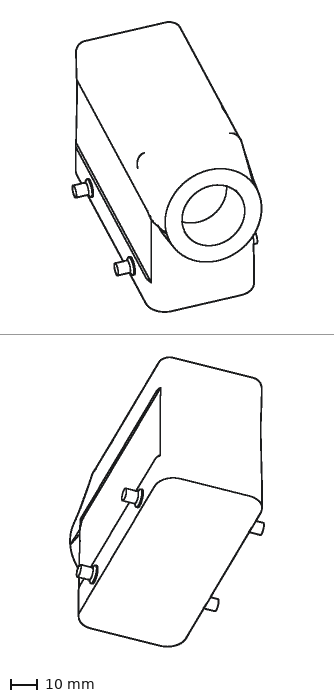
import cadquery as cq
import math

overall_length = 106.8
overall_width = 55.6
overall_height = 69.3

base_length = 93.4
base_width = 42.9
base_height = 13.0
base_corner_radius = 7.6

body_top = 62.3
corner_change_height = 38.4
waist_corner_radius = 7.3
top_corner_radius = 3.8
top_edge_radius = 3.7
end_draft = 1.3
side_draft = 0.6

recess_top = 46.5
recess_half_width_bottom = 20.5
recess_half_width_top = 20.3

outlet_tilt = 15.0
outlet_radius = 19.2
outlet_bore_diameter = 25.0
outlet_bore_depth = 21.4
outlet_tube_length = 25.6
shoulder_tilt = 42.7
shoulder_start_x = 71.8
shoulder_depth = 25.4
rim_edge_depths = (22.7, 19.6, 9.8, 3.5)

pin_spacing = 47.5
pin_height = 6.2
pin_diameter = 4.8
collar_diameter = 7.0
collar_thickness = 0.5
collar_cone_length = 1.0
pin_root_depth = 10.7


def draft_fraction(z):
    """Share of the full draft reached at height z."""
    return (z - base_height) / (body_top - base_height)


def half_width(z):
    """Half width of the drafted housing at height z."""
    return base_width / 2 - side_draft * draft_fraction(z)


def rounded_section(z, radius):
    """Rounded rectangular sketch of the housing at height z."""
    length = base_length - 2 * end_draft * draft_fraction(z)
    sketch = cq.Sketch().rect(length, 2 * half_width(z)).vertices().fillet(radius)
    return sketch.moved(cq.Location(cq.Vector(base_length / 2, 0, z)))


def tilted_plane(x, z, tilt):
    """Plane with local x along Y, whose normal rises by tilt degrees from +X."""
    angle = math.radians(tilt)
    return cq.Plane((x, 0, z), xDir=(0, 1, 0), normal=(math.cos(angle), 0, math.sin(angle)))


def make_housing():
    """Drafted housing whose corners sharpen above the waist, with a rounded top edge."""
    bottom = rounded_section(base_height, base_corner_radius)
    middle = rounded_section(corner_change_height, waist_corner_radius)
    top = rounded_section(body_top, top_corner_radius)
    lower = cq.Workplane().placeSketch(bottom, middle).loft(ruled=True)
    upper = cq.Workplane().placeSketch(middle, top).loft(ruled=True)
    return lower.union(upper.faces(">Z").edges().fillet(top_edge_radius))


def cut_side_recesses(housing):
    """Cut both long sides back to a slightly drafted flat face."""
    outside = base_width
    for side in (-1, 1):
        recess = (
            cq.Workplane("YZ")
            .moveTo(side * recess_half_width_bottom, base_height)
            .lineTo(side * recess_half_width_top, recess_top)
            .lineTo(side * outside, recess_top)
            .lineTo(side * outside, base_height)
            .close()
            .extrude(base_length)
        )
        housing = housing.cut(recess)
    return housing


def make_base():
    skirt = cq.Workplane().box(base_length, base_width, base_height, centered=(False, True, False))
    return skirt.edges("|Z").fillet(base_corner_radius)


tilt_angle = math.radians(outlet_tilt)
shoulder_angle = math.radians(shoulder_tilt)
rim_x = overall_length - outlet_radius * math.sin(tilt_angle)
rim_z = overall_height - outlet_radius * math.cos(tilt_angle)
shoulder_end_x = shoulder_start_x + shoulder_depth * math.sin(shoulder_angle)
shoulder_end_z = body_top - shoulder_depth * math.cos(shoulder_angle)


def cut_shoulder(housing):
    """Remove the top corner of the housing in front of the sloping shoulder plane."""
    reach = overall_length - shoulder_end_x
    corner = (
        cq.Workplane("XZ")
        .moveTo(shoulder_start_x, body_top)
        .lineTo(shoulder_end_x, shoulder_end_z)
        .lineTo(overall_length, shoulder_end_z + reach * math.tan(tilt_angle))
        .lineTo(overall_length, overall_height)
        .lineTo(shoulder_start_x, overall_height)
        .close()
        .extrude(base_width / 2, both=True)
    )
    return housing.cut(corner)


def shoulder_wire():
    """Housing outline in the sloping shoulder plane."""
    def depth(z):
        return (body_top - z) / math.cos(shoulder_angle)

    fillet_bottom = body_top - top_edge_radius
    side_y = half_width(fillet_bottom)
    flat_y = side_y - top_edge_radius
    middle_offset = top_edge_radius * math.sqrt(0.5)
    arc_y = flat_y + middle_offset
    arc_depth = depth(fillet_bottom + middle_offset)
    recess_y = half_width(recess_top)
    return (
        cq.Workplane(tilted_plane(shoulder_start_x, body_top, shoulder_tilt))
        .moveTo(-recess_half_width_top, -shoulder_depth)
        .lineTo(recess_half_width_top, -shoulder_depth)
        .lineTo(recess_y, -depth(recess_top))
        .lineTo(side_y, -depth(fillet_bottom))
        .threePointArc((arc_y, -arc_depth), (flat_y, 0))
        .lineTo(0, 0)
        .lineTo(-flat_y, 0)
        .threePointArc((-arc_y, -arc_depth), (-side_y, -depth(fillet_bottom)))
        .lineTo(-recess_y, -depth(recess_top))
        .close()
        .wire()
        .val()
    )


def rim_wire():
    """Upper part of the outlet rim, split where the outer faces meet."""
    side_angles = [math.asin(1 - edge_depth / outlet_radius) for edge_depth in rim_edge_depths]
    angles = side_angles + [math.pi / 2] + [math.pi - angle for angle in reversed(side_angles)]

    def on_rim(angle):
        return (outlet_radius * math.cos(angle), outlet_radius * math.sin(angle))

    wire = cq.Workplane(tilted_plane(rim_x, rim_z, outlet_tilt))
    wire = wire.moveTo(*on_rim(angles[-1])).lineTo(*on_rim(angles[0]))
    for start, end in zip(angles, angles[1:]):
        wire = wire.threePointArc(on_rim((start + end) / 2), on_rim(end))
    return wire.wire().val()


def make_outlet():
    """Tapered transition from the shoulder to the rim, above the lower part of a round tube."""
    transition = cq.Workplane(cq.Solid.makeLoft([shoulder_wire(), rim_wire()], True))
    split_height = outlet_radius - rim_edge_depths[0]
    split_half_width = math.sqrt(outlet_radius**2 - split_height**2)
    tube = (
        cq.Workplane(tilted_plane(rim_x, rim_z, outlet_tilt))
        .moveTo(-split_half_width, split_height)
        .threePointArc((0, -outlet_radius), (split_half_width, split_height))
        .close()
        .extrude(-outlet_tube_length)
    )
    return tube.union(transition)


def make_outlet_bore():
    rim = cq.Workplane(tilted_plane(rim_x, rim_z, outlet_tilt))
    return rim.circle(outlet_bore_diameter / 2).extrude(-outlet_bore_depth)


def make_pin(x, side):
    """Locking pin with a conical collar, standing on the skirt at side -1 or +1."""
    pin_reach = (overall_width - base_width) / 2
    cone_end = collar_thickness + collar_cone_length
    plane = cq.Plane((x, side * base_width / 2, pin_height), xDir=(1, 0, 0), normal=(0, 0, 1))
    return (
        cq.Workplane(plane)
        .moveTo(0, -side * pin_root_depth)
        .lineTo(collar_diameter / 2, -side * pin_root_depth)
        .lineTo(collar_diameter / 2, side * collar_thickness)
        .lineTo(pin_diameter / 2, side * cone_end)
        .lineTo(pin_diameter / 2, side * pin_reach)
        .lineTo(0, side * pin_reach)
        .close()
        .revolve(360, (0, 0), (0, 1))
    )


housing = cut_shoulder(cut_side_recesses(make_housing()))
result = make_base().union(housing).union(make_outlet()).cut(make_outlet_bore())
for pin_x in (base_length / 2 - pin_spacing / 2, base_length / 2 + pin_spacing / 2):
    for pin_side in (-1, 1):
        result = result.union(make_pin(pin_x, pin_side))